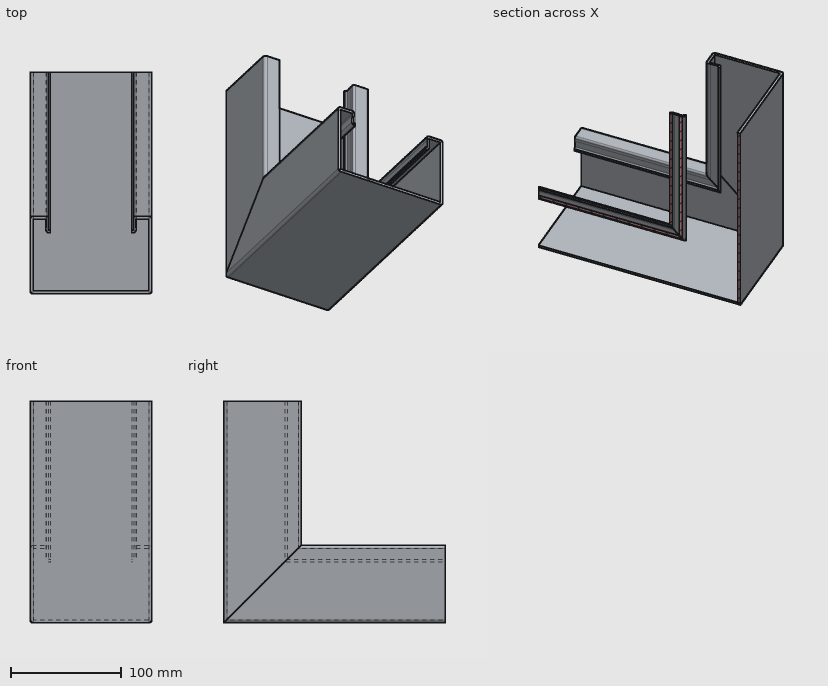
import cadquery as cq

length = 200.0
width = 110.0
depth = 70.0
wall = 2.8
corner_radius = 2.8
side = width / 2

lip_width = 16.5
lip_thickness = 2.0
lip_drop = 14.5
lip_outer_radius = 1.8
lip_inner_radius = 0.5
lean_start = 4.5
lean_offset = 0.5

foot_reach = 1.8
foot_thickness = 2.2
foot_fall = 0.5
foot_outer_radius = 2.8
foot_inner_radius = 1.5

upper_face = side - lip_width
upper_inside = upper_face + lip_thickness
lower_face = upper_face + lean_offset
lower_inside = upper_inside + lean_offset
foot_tip = lower_face - foot_reach
lip_end = depth - lip_drop
foot_top = lip_end + foot_thickness

HALF_OUTLINE = [
    (0, 0),
    (side, 0),
    (side, depth),
    (upper_face, depth),
    (upper_face, depth - lean_start),
    (lower_face, foot_top),
    (foot_tip, foot_top - foot_fall),
    (foot_tip, lip_end - foot_fall),
    (lower_inside, lip_end),
    (upper_inside, depth - lean_start),
    (upper_inside, depth - wall),
    (side - wall, depth - wall),
    (side - wall, wall),
    (0, wall),
]

ROUNDED_CORNERS = [
    (side, 0, corner_radius),
    (side, depth, corner_radius),
    (upper_face, depth, lip_outer_radius),
    (upper_inside, depth - wall, lip_inner_radius),
    (lower_inside, lip_end, foot_outer_radius),
    (lower_face, foot_top, foot_inner_radius),
]


def duct():
    """Straight upright duct with both ends square."""
    half = cq.Workplane("XY").polyline(HALF_OUTLINE).close().extrude(length)
    for x, y, radius in ROUNDED_CORNERS:
        corner_edge = cq.selectors.NearestToPointSelector((x, y, length / 2))
        half = half.edges("|Z").edges(corner_edge).fillet(radius)
    return half.union(half.mirror("YZ"))


def mitre_wedge():
    """Wedge below the 45 degree plane z = y, across the full width."""
    triangle = [(0, 0), (depth, depth), (depth, 0)]
    return cq.Workplane("YZ").polyline(triangle).close().extrude(side, both=True)


upright_duct = duct().cut(mitre_wedge())
level_duct = upright_duct.mirror(cq.Vector(0, 1, -1))

result = cq.Compound.makeCompound([upright_duct.val(), level_duct.val()])